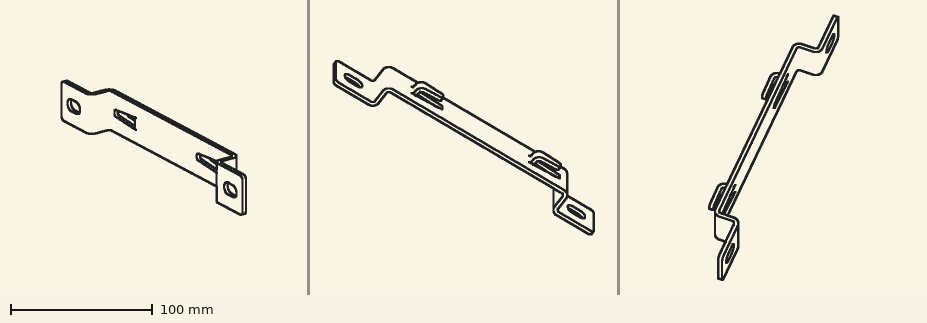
import cadquery as cq

length = 220.0
width = 30.0
thickness = 3.0
offset_depth = 20.0
foot_to_web = 35.0
inner_bend = 2.0
outer_bend = inner_bend + thickness
corner_radius = 3.0

slot_length = 15.0
slot_height = 9.0
slot_inset = 15.0

hook_roots = (-43.0, 57.2)
hook_gap = 4.8
hook_length = 22.0
tongue_tip_width = 5.5
tongue_tip_radius = 2.2
window_length = 26.6
window_tip_radius = 1.8
root_width = 9.2
root_inner_bend = 1.5
root_outer_bend = root_inner_bend + thickness

half_length = length / 2
web_front = offset_depth - thickness
wall_inner = half_length - foot_to_web
wall_outer = wall_inner + thickness
hook_back = offset_depth + hook_gap + thickness
width_taper = (root_width - tongue_tip_width) / hook_length


def box(x_min, x_max, y_min, y_max, height):
    """Block between X and Y limits, centred on Z."""
    return (
        cq.Workplane("XY")
        .box(x_max - x_min, y_max - y_min, height, centered=(False, False, True))
        .translate((x_min, y_min, 0))
    )


def bent_strip():
    web = box(-wall_outer, wall_outer, 0, offset_depth, width)
    web = web.edges("|Z and >Y").fillet(outer_bend)
    channel = box(-wall_inner, wall_inner, -thickness, web_front, width)
    channel = channel.edges("|Z and >Y").fillet(inner_bend)
    strip = web.cut(channel)
    for side in (-1, 1):
        bend_start = side * (wall_inner + outer_bend)
        foot_end = side * half_length
        wall_face = side * wall_inner
        back_face = side * wall_outer
        diagonal = 0.5 ** 0.5
        outer_mid = (
            bend_start - side * outer_bend * diagonal,
            outer_bend * (1 - diagonal),
        )
        inner_mid = (
            bend_start - side * inner_bend * diagonal,
            outer_bend - inner_bend * diagonal,
        )
        foot = (
            cq.Workplane("XY")
            .moveTo(foot_end, 0)
            .lineTo(bend_start, 0)
            .threePointArc(outer_mid, (wall_face, outer_bend))
            .lineTo(back_face, outer_bend)
            .threePointArc(inner_mid, (bend_start, thickness))
            .lineTo(foot_end, thickness)
            .close()
            .extrude(width / 2, both=True)
        )
        low_edge = min(wall_face, back_face)
        high_edge = max(wall_face, back_face)
        wall_base = box(low_edge, high_edge, 0, outer_bend, width)
        end_edges = ">X" if side > 0 else "<X"
        foot = foot.edges(f"|Y and {end_edges}").fillet(corner_radius)
        strip = strip.cut(wall_base).union(foot)
    return strip


def mounting_slots():
    slot_center = half_length - slot_inset
    return (
        cq.Workplane("XZ")
        .pushPoints([(-slot_center, 0), (slot_center, 0)])
        .slot2D(slot_length, slot_height)
        .extrude(-thickness)
    )


def tapered_block(root, reach, tip_radius, y_min, y_max):
    """Outline narrowing from the root to a rounded tip, through a Y range."""
    tip = root - reach
    tip_width = root_width - reach * width_taper
    return (
        cq.Workplane("XZ", origin=(0, y_min, 0))
        .polyline([
            (root, -root_width / 2),
            (root, root_width / 2),
            (tip, tip_width / 2),
            (tip, -tip_width / 2),
        ])
        .close()
        .extrude(y_min - y_max)
        .edges("|Y and <X")
        .fillet(tip_radius)
    )


def hook(root):
    """S-bent tongue, trimmed to its tapered outline."""
    tip = root - hook_length
    riser_back = root - root_inner_bend
    riser_front = riser_back - thickness
    upper = box(tip, riser_back, web_front, hook_back, root_width)
    upper = upper.edges("|Z and >X and >Y").fillet(outer_bend)
    hollow = box(tip, riser_front, web_front, hook_back - thickness, root_width)
    hollow = hollow.edges("|Z and >X and >Y").fillet(inner_bend)
    bend_axis = offset_depth + root_inner_bend
    root_block = box(riser_front, root, web_front, bend_axis, root_width)
    ring = (
        cq.Workplane("XY")
        .center(root, bend_axis)
        .circle(root_outer_bend)
        .circle(root_inner_bend)
        .extrude(root_width / 2, both=True)
    )
    riser_base = box(riser_front, riser_back, web_front, bend_axis, root_width)
    tongue = upper.cut(hollow).cut(riser_base).union(root_block.intersect(ring))
    outline = tapered_block(
        root, hook_length, tongue_tip_radius, web_front, hook_back
    )
    return tongue.intersect(outline)


result = bent_strip().cut(mounting_slots())
for hook_root in hook_roots:
    window = tapered_block(
        hook_root, window_length, window_tip_radius, web_front, offset_depth
    )
    result = result.cut(window).union(hook(hook_root))